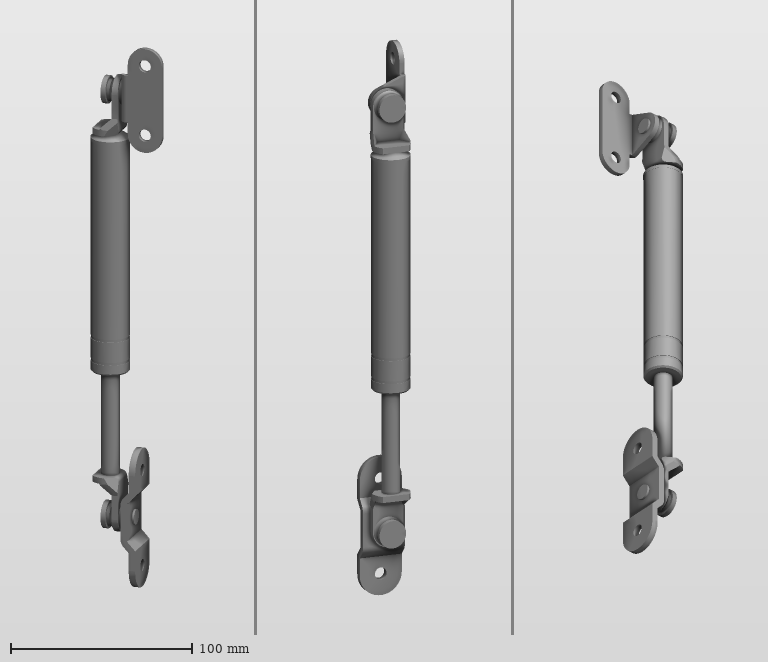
import cadquery as cq
import math


OVERALL_HEIGHT = 316.0
OVERALL_DEPTH = 26.5

TUBE_DIAMETER = 21.8
TUBE_RADIUS = TUBE_DIAMETER / 2
RIM_RADIUS = 11.0
RIM_BOTTOM = 257.0
TUBE_BOTTOM = 123.2
TUBE_SHOULDER = 258.8
TUBE_TOP_RADIUS = 6.3
TUBE_BOTTOM_CHAMFER = 1.0
GROOVE_WIDTH = 1.5
GROOVE_DEPTH = 0.3
GROOVE_HEIGHTS = (130.2, 143.5)
ROD_DIAMETER = 10.5
ROD_RADIUS = ROD_DIAMETER / 2

SHEET = 3.5
EYE_WIDTH = 18.0
EYE_RADIUS = EYE_WIDTH / 2
EYE_X = 3.8
EYE_REACH = 20.5
SEAT_RADIUS = 11.0
SEAT_FRONT_X = -8.0
BEND_RADIUS = 2.5
GUSSET_RISE = 6.5
GUSSET_RUN = 7.3
GUSSET_INNER_Y = 6.3

CAP_RADIUS = 8.0
CAP_X = -3.2
CAP_THICKNESS = 3.0
NECK_RADIUS = 6.3
COLLAR_X = 1.5
COLLAR_RIM_RADIUS = 8.5
SHANK_RADIUS = 3.8
SHOULDER_EYE_RADIUS = 7.5
SHOULDER_MOUNT_RADIUS = 5.7
RIVET_RADIUS = 4.5
RIVET_HEIGHT = 1.3

MOUNT_X = 10.0
BASE_SHEET = 3.8
SCREW_HOLE_DIAMETER = 7.0

BASE_WIDTH = 25.0
BASE_LENGTH = 80.0
BASE_OFFSET = 4.7
BASE_MID_HALF_LENGTH = 12.3
BASE_END_START = 17.5
BASE_BEND_RADIUS = 6.0
BASE_HOLE_INSET = BASE_WIDTH / 2

WALL_SHEET = 3.0
WALL_LENGTH = 60.0
WALL_WIDTH = 20.0
WALL_RIGHT_X = 34.8
WALL_Y = BASE_WIDTH / 2 - OVERALL_DEPTH
WALL_HOLE_SPACING = 40.0
FLANGE_LENGTH = 27.2
FLANGE_NOSE_WIDTH = 16.7
FLANGE_NOSE_RADIUS = FLANGE_NOSE_WIDTH / 2
FLANGE_BEND_RADIUS = 3.8

LOWER_STUD_Z = BASE_LENGTH / 2
UPPER_STUD_Z = OVERALL_HEIGHT - WALL_LENGTH / 2
UPPER_SEAT_Z = UPPER_STUD_Z - EYE_REACH - SHEET
LOWER_SEAT_Z = LOWER_STUD_Z + EYE_REACH + SHEET
EYE_BACK_X = EYE_X + SHEET


def make_tube():
    profile = [
        (0, TUBE_BOTTOM),
        (TUBE_RADIUS - TUBE_BOTTOM_CHAMFER, TUBE_BOTTOM),
        (TUBE_RADIUS, TUBE_BOTTOM + TUBE_BOTTOM_CHAMFER),
        (TUBE_RADIUS, RIM_BOTTOM),
        (RIM_RADIUS, RIM_BOTTOM),
        (RIM_RADIUS, TUBE_SHOULDER),
        (TUBE_TOP_RADIUS, UPPER_SEAT_Z),
        (0, UPPER_SEAT_Z),
    ]
    tube = cq.Workplane("XZ").polyline(profile).close().revolve(360, (0, 0), (0, 1))
    for height in GROOVE_HEIGHTS:
        groove = (
            cq.Workplane("XY", origin=(0, 0, height - GROOVE_WIDTH / 2))
            .circle(TUBE_RADIUS + GROOVE_DEPTH)
            .circle(TUBE_RADIUS - GROOVE_DEPTH)
            .extrude(GROOVE_WIDTH)
        )
        tube = tube.cut(groove)
    return tube


def make_rod():
    return (
        cq.Workplane("XY", origin=(0, 0, LOWER_SEAT_Z))
        .circle(ROD_RADIUS)
        .extrude(TUBE_BOTTOM - LOWER_SEAT_Z)
    )


def tetrahedron(a, b, c, d):
    corners = [cq.Vector(*point) for point in (a, b, c, d)]
    faces = []
    for skipped in range(4):
        triangle = corners[:skipped] + corners[skipped + 1:]
        faces.append(cq.Face.makeFromWires(cq.Wire.makePolygon(triangle, close=True)))
    return cq.Workplane(cq.Solid.makeSolid(cq.Shell.makeShell(faces)))


def corner_gusset(corner_x, corner_z, side):
    """Wedge that slants across the seat-to-eye corner and widens toward the sheet edge."""
    outer_y = SEAT_RADIUS
    width = outer_y - GUSSET_INNER_Y
    outer_rise = GUSSET_RISE * width / (EYE_RADIUS - GUSSET_INNER_Y)
    return tetrahedron(
        (corner_x, side * GUSSET_INNER_Y, corner_z),
        (corner_x, side * outer_y, corner_z),
        (corner_x, side * outer_y, corner_z + outer_rise),
        (corner_x - GUSSET_RUN, side * outer_y, corner_z),
    )


def make_end_bracket():
    """Bracket with the stud axis at z = 0 and the seat below it."""
    seat_top = -EYE_REACH
    seat_bottom = seat_top - SHEET
    angle_profile = [
        (SEAT_FRONT_X, seat_bottom),
        (EYE_BACK_X, seat_bottom),
        (EYE_BACK_X, EYE_RADIUS),
        (EYE_X, EYE_RADIUS),
        (EYE_X, seat_top),
        (SEAT_FRONT_X, seat_top),
    ]
    bracket = (
        cq.Workplane("XZ")
        .polyline(angle_profile)
        .close()
        .extrude(SEAT_RADIUS, both=True)
        .edges(cq.selectors.NearestToPointSelector((EYE_BACK_X, 0, seat_bottom)))
        .fillet(BEND_RADIUS)
    )
    for side in (-1, 1):
        bracket = bracket.union(corner_gusset(EYE_X, seat_top, side))
        bracket = bracket.cut(corner_gusset(EYE_BACK_X, seat_bottom, side))

    eye_outline = (
        cq.Workplane("YZ", origin=(SEAT_FRONT_X, 0, 0))
        .moveTo(-SEAT_RADIUS, seat_bottom)
        .lineTo(SEAT_RADIUS, seat_bottom)
        .lineTo(SEAT_RADIUS, seat_top)
        .lineTo(EYE_RADIUS, seat_top + GUSSET_RISE)
        .lineTo(EYE_RADIUS, 0)
        .threePointArc((0, EYE_RADIUS), (-EYE_RADIUS, 0))
        .lineTo(-EYE_RADIUS, seat_top + GUSSET_RISE)
        .lineTo(-SEAT_RADIUS, seat_top)
        .close()
        .extrude(EYE_BACK_X - SEAT_FRONT_X)
    )
    seat_outline = (
        cq.Workplane("XY", origin=(0, 0, seat_bottom))
        .moveTo(EYE_BACK_X, -SEAT_RADIUS)
        .lineTo(EYE_BACK_X, SEAT_RADIUS)
        .lineTo(0, SEAT_RADIUS)
        .threePointArc((-SEAT_RADIUS, 0), (0, -SEAT_RADIUS))
        .close()
        .extrude(EYE_RADIUS - seat_bottom)
    )
    stud_hole = cq.Workplane("YZ", origin=(EYE_X, 0, 0)).circle(SHANK_RADIUS).extrude(SHEET)
    return bracket.intersect(eye_outline).intersect(seat_outline).cut(stud_hole)


def make_stud(stud_z, mount_sheet):
    """Ball stud, riveted through a mounting sheet of the given thickness."""
    cap_back = CAP_X + CAP_THICKNESS
    mount_back = MOUNT_X + mount_sheet
    rivet_end = mount_back + RIVET_HEIGHT
    profile = [
        (CAP_X, 0),
        (CAP_X, CAP_RADIUS),
        (cap_back, CAP_RADIUS),
        (cap_back, NECK_RADIUS),
        (COLLAR_X, NECK_RADIUS),
        (EYE_X, COLLAR_RIM_RADIUS),
        (EYE_X, SHANK_RADIUS),
        (EYE_BACK_X, SHANK_RADIUS),
        (EYE_BACK_X, SHOULDER_EYE_RADIUS),
        (MOUNT_X, SHOULDER_MOUNT_RADIUS),
        (MOUNT_X, SHANK_RADIUS),
        (mount_back, SHANK_RADIUS),
        (mount_back, RIVET_RADIUS),
        (rivet_end, RIVET_RADIUS),
        (rivet_end, 0),
    ]
    stud = cq.Workplane("XZ").polyline(profile).close().revolve(360, (0, 0), (1, 0))
    return stud.translate((0, 0, stud_z))


def shank_hole(stud_z, mount_sheet):
    return (
        cq.Workplane("YZ", origin=(MOUNT_X, 0, stud_z)).circle(SHANK_RADIUS).extrude(mount_sheet)
    )


def make_base_plate():
    """Joggled strip with rounded ends; its middle stands toward the stud."""
    half_length = BASE_LENGTH / 2
    end_x = MOUNT_X + BASE_OFFSET
    half_face = [(MOUNT_X, BASE_MID_HALF_LENGTH), (end_x, BASE_END_START), (end_x, half_length)]
    slope_angle = math.atan2(BASE_OFFSET, BASE_END_START - BASE_MID_HALF_LENGTH)
    bend_shift = BASE_SHEET * math.tan(slope_angle / 2)
    front_face = [(x, -z) for x, z in reversed(half_face)] + half_face
    half_back = [
        (MOUNT_X + BASE_SHEET, BASE_MID_HALF_LENGTH - bend_shift),
        (end_x + BASE_SHEET, BASE_END_START - bend_shift),
        (end_x + BASE_SHEET, half_length),
    ]
    back_face = half_back[::-1] + [(x, -z) for x, z in half_back]
    strip = (
        cq.Workplane("XZ")
        .polyline(front_face + back_face)
        .close()
        .extrude(BASE_WIDTH / 2, both=True)
    )
    for z in (-BASE_MID_HALF_LENGTH, BASE_MID_HALF_LENGTH):
        bend_edge = cq.selectors.NearestToPointSelector((MOUNT_X, 0, z))
        strip = strip.edges(bend_edge).fillet(BASE_BEND_RADIUS)
    outline = (
        cq.Workplane("YZ").slot2D(BASE_LENGTH, BASE_WIDTH, 90).extrude(end_x + BASE_SHEET)
    )
    hole_z = half_length - BASE_HOLE_INSET
    holes = (
        cq.Workplane("YZ")
        .pushPoints([(0, -hole_z), (0, hole_z)])
        .circle(SCREW_HOLE_DIAMETER / 2)
        .extrude(end_x + BASE_SHEET)
    )
    plate = strip.intersect(outline).cut(holes).translate((0, 0, LOWER_STUD_Z))
    return plate.cut(shank_hole(LOWER_STUD_Z, BASE_SHEET))


def make_wall_bracket():
    """Obround wall plate with a tapered flange bent up to carry the stud."""
    wall_center_x = WALL_RIGHT_X - WALL_WIDTH / 2
    plate_back_y = WALL_Y + WALL_SHEET
    plate = (
        cq.Workplane("XZ", origin=(wall_center_x, plate_back_y, UPPER_STUD_Z))
        .slot2D(WALL_LENGTH, WALL_WIDTH, 90)
        .extrude(WALL_SHEET)
    )
    bridge = cq.Workplane("XY").box(
        wall_center_x - MOUNT_X, WALL_SHEET, FLANGE_LENGTH, centered=(False, False, True)
    ).translate((MOUNT_X, WALL_Y, UPPER_STUD_Z))

    half_flange = FLANGE_LENGTH / 2
    root_distance = math.hypot(plate_back_y, half_flange)
    root_angle = math.atan2(half_flange, plate_back_y)
    tangent_angle = root_angle - math.acos(FLANGE_NOSE_RADIUS / root_distance)
    tangent_y = FLANGE_NOSE_RADIUS * math.cos(tangent_angle)
    tangent_z = FLANGE_NOSE_RADIUS * math.sin(tangent_angle)
    flange = (
        cq.Workplane("YZ", origin=(MOUNT_X, 0, UPPER_STUD_Z))
        .moveTo(WALL_Y, -half_flange)
        .lineTo(plate_back_y, -half_flange)
        .lineTo(tangent_y, -tangent_z)
        .threePointArc((FLANGE_NOSE_RADIUS, 0), (tangent_y, tangent_z))
        .lineTo(plate_back_y, half_flange)
        .lineTo(WALL_Y, half_flange)
        .close()
        .extrude(WALL_SHEET)
    )
    angle = bridge.union(flange).edges(
        cq.selectors.NearestToPointSelector((MOUNT_X, WALL_Y, UPPER_STUD_Z))
    ).fillet(FLANGE_BEND_RADIUS)

    holes = (
        cq.Workplane("XZ", origin=(wall_center_x, plate_back_y, UPPER_STUD_Z))
        .pushPoints([(0, -WALL_HOLE_SPACING / 2), (0, WALL_HOLE_SPACING / 2)])
        .circle(SCREW_HOLE_DIAMETER / 2)
        .extrude(WALL_SHEET)
    )
    return plate.union(angle).cut(holes).cut(shank_hole(UPPER_STUD_Z, WALL_SHEET))


tube = make_tube()
rod = make_rod()
base_plate = make_base_plate()
wall_bracket = make_wall_bracket()

end_brackets = []
for stud_z, seat_above in ((LOWER_STUD_Z, True), (UPPER_STUD_Z, False)):
    end_bracket = make_end_bracket()
    if seat_above:
        end_bracket = end_bracket.mirror("XY")
    end_brackets.append(end_bracket.translate((0, 0, stud_z)).val())

studs = []
for stud_z, mount_sheet in ((LOWER_STUD_Z, BASE_SHEET), (UPPER_STUD_Z, WALL_SHEET)):
    studs.append(make_stud(stud_z, mount_sheet).val())

result = cq.Compound.makeCompound(
    [tube.val(), rod.val(), base_plate.val(), wall_bracket.val(), *end_brackets, *studs]
)